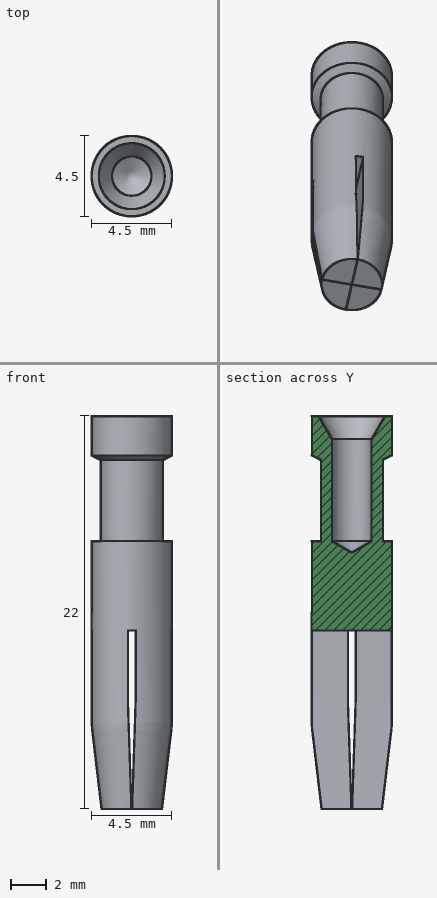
import cadquery as cq
import math

length = 22.0
body_radius = 4.5 / 2
neck_radius = 3.5 / 2
tip_radius = 1.7

taper_start = 4.82
taper_bend = 4.49
tip_cone_start = 3.7
shoulder_height = 15.0
collar_bottom = 19.8

taper_bend_radius = body_radius - 0.02
tip_cone_radius = 2.13

collar_underside_angle = 27.0

funnel_radius = 1.85
socket_radius = 1.1
funnel_half_angle = 30.0
socket_depth = length - shoulder_height
drill_half_angle = 60.0

slot_top = 9.99
slot_bend = 6.0
slot_width = 0.42
slot_tip_width = 0.02


def height_for(radial_step, half_angle):
    """Axial length of a cone with the given radius change and half angle to the axis."""
    return radial_step / math.tan(math.radians(half_angle))


def make_pin():
    """Solid of revolution: tapered tip, body, neck and collar."""
    underside_drop = (body_radius - neck_radius) * math.tan(math.radians(collar_underside_angle))
    profile = [
        (0, 0),
        (tip_radius, 0),
        (tip_cone_radius, tip_cone_start),
        (taper_bend_radius, taper_bend),
        (body_radius, taper_start),
        (body_radius, shoulder_height),
        (neck_radius, shoulder_height),
        (neck_radius, collar_bottom - underside_drop),
        (body_radius, collar_bottom),
        (body_radius, length),
        (0, length),
    ]
    return cq.Workplane("XZ").polyline(profile).close().revolve(360, (0, 0), (0, 1))


def make_socket():
    """Cutter for the wire socket: funnel mouth, bore and conical drill point."""
    funnel_bottom = length - height_for(funnel_radius - socket_radius, funnel_half_angle)
    bore_bottom = length - socket_depth
    drill_point = bore_bottom - height_for(socket_radius, drill_half_angle)
    profile = [
        (0, drill_point),
        (socket_radius, bore_bottom),
        (socket_radius, funnel_bottom),
        (funnel_radius, length),
        (0, length),
    ]
    return cq.Workplane("XZ").polyline(profile).close().revolve(360, (0, 0), (0, 1))


def make_slot(plane):
    """Cutter for one slot across the pin: parallel at the top, closing towards the tip."""
    right_side = [
        (slot_tip_width / 2, 0),
        (slot_width / 2, slot_bend),
        (slot_width / 2, slot_top),
    ]
    left_side = [(-x, z) for x, z in reversed(right_side)]
    return cq.Workplane(plane).polyline(right_side + left_side).close().extrude(body_radius, both=True)


result = make_pin().cut(make_socket())
for slot_plane in ("XZ", "YZ"):
    result = result.cut(make_slot(slot_plane))